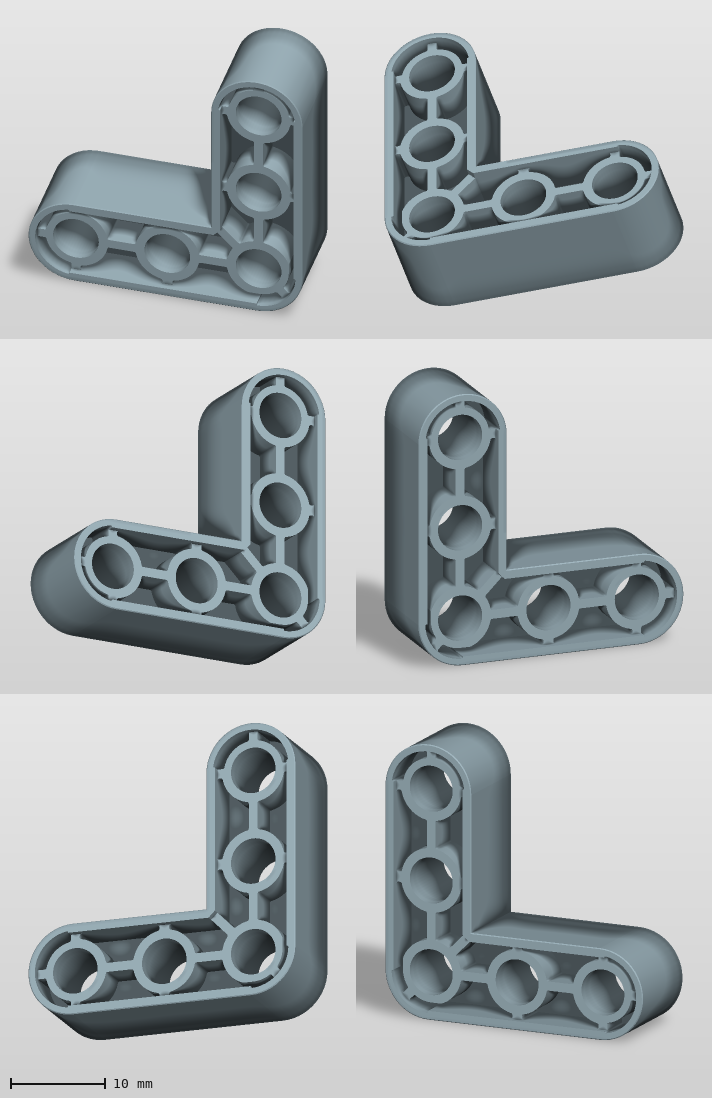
import cadquery as cq
import math

pitch = 10.0
holes_per_arm = 3
thickness = 10.0
outer_radius = pitch / 2
hole_diameter = 5.0
edge_chamfer = 0.1

floor_thickness = 1.0
recess = 0.8
wall_face = 4.02
end_radius = 4.25
ring_radius = 3.5
thin_ring_radius = 3.3
web_width = 1.0
middle_rib_width = 1.1
rib_fillet = 0.2
web_fillet = 0.2
step_fillet = 0.15

margin = 0.1

arm_length = (holes_per_arm - 1) * pitch
pocket_depth = (thickness - floor_thickness) / 2
front_y = -thickness / 2

corner_hole = (0, 0)
x_end_hole = (-arm_length, 0)
z_end_hole = (0, arm_length)
holes_along_x = [(-i * pitch, 0) for i in range(1, holes_per_arm)]
holes_along_z = [(0, i * pitch) for i in range(1, holes_per_arm)]
hole_centres = [corner_hole] + holes_along_x + holes_along_z


def face_plane():
    """Workplane on the front face; a negative extrusion goes into the part."""
    return cq.Workplane("XZ", origin=(0, front_y, 0))


def bar(start, end, width):
    """Straight bar of the given width between two points (x, z), as deep as a pocket."""
    middle = ((start[0] + end[0]) / 2, (start[1] + end[1]) / 2)
    angle = math.degrees(math.atan2(end[1] - start[1], end[0] - start[0]))
    turned = face_plane().center(*middle).transformed(rotate=(0, 0, angle))
    return turned.rect(math.dist(start, end), width).extrude(-pocket_depth)


def block(x_range, z_range):
    """Upright block over the given x and z ranges, as deep as a pocket."""
    size = (x_range[1] - x_range[0], z_range[1] - z_range[0])
    corner = (x_range[0] + size[0] / 2, z_range[0] + size[1] / 2)
    return face_plane().center(*corner).rect(*size).extrude(-pocket_depth)


def discs(centres, radius, depth=pocket_depth):
    """Round prisms at the given centres, starting at the front face."""
    return face_plane().pushPoints(centres).circle(radius).extrude(-depth)


def round_edges(solid, x_range, z_range, radius):
    """Fillet the edges along Y whose middles lie within the given x and z ranges."""
    low = (x_range[0], -thickness, z_range[0])
    high = (x_range[1], thickness, z_range[1])
    return solid.edges("|Y").edges(cq.selectors.BoxSelector(low, high)).fillet(radius)


def around(centre, slack):
    """Range from slack below to slack above a centre."""
    return (centre - slack, centre + slack)


def body():
    """L-shaped block with round arm ends, a round outer corner and bevelled outer edges."""
    r = outer_radius
    diagonal = r * math.sqrt(0.5)
    outline = (
        face_plane()
        .moveTo(0, -r)
        .lineTo(-arm_length, -r)
        .threePointArc((-arm_length - r, 0), (-arm_length, r))
        .lineTo(-r, r)
        .lineTo(-r, arm_length)
        .threePointArc((0, arm_length + r), (r, arm_length))
        .lineTo(r, 0)
        .threePointArc((diagonal, -diagonal), (0, -r))
        .close()
    )
    solid = outline.extrude(-thickness)
    return solid.faces("<Y or >Y").edges().chamfer(edge_chamfer)


round_start = arm_length + web_width / 2
round_stop = arm_length + outer_radius
across_arm = (-outer_radius, outer_radius)
x_end_area = block((-round_stop, -round_start), across_arm)
z_end_area = block(across_arm, (round_start, round_stop))
corner_area = block((0, outer_radius), (-outer_radius, 0))
round_areas = [(x_end_hole, x_end_area), (z_end_hole, z_end_area), (corner_hole, corner_area)]


def cavity():
    """Space inside the outer wall, wider by a small step at its round stretches."""
    half = wall_face
    space = bar((-round_start, 0), (half, 0), 2 * half)
    space = space.union(bar((0, -half), (0, round_start), 2 * half)).cut(corner_area)
    for hole, area in round_areas:
        space = space.union(discs([hole], end_radius).intersect(area))

    right_wall = (wall_face + margin, outer_radius)
    left_wall = (-outer_radius, -wall_face - margin)
    for wall in (right_wall, left_wall):
        space = round_edges(space, around(-round_start, margin), wall, step_fillet)
        space = round_edges(space, wall, around(round_start, margin), step_fillet)
    space = round_edges(space, right_wall, around(0, margin), step_fillet)
    space = round_edges(space, around(0, margin), left_wall, step_fillet)

    notch = wall_face + web_width * math.sqrt(0.5) / 2
    return space.union(bar((-notch, notch), corner_hole, web_width))


def rings():
    """Rings around the holes, thinner where they face the round stretches of wall."""
    solid = discs(hole_centres, ring_radius)
    flats = block((thin_ring_radius, outer_radius), (0, outer_radius / 2))
    flats = flats.union(block((-outer_radius / 2, 0), (-outer_radius, -thin_ring_radius)))
    solid = solid.cut(flats)
    for hole, area in round_areas:
        solid = solid.cut(area.cut(discs([hole], thin_ring_radius)))
    return solid


def ribs():
    """Webs and ribs that tie the rings to each other and to the outer wall."""
    reach = outer_radius
    solid = bar((-round_stop, 0), corner_hole, web_width)
    solid = solid.union(bar(corner_hole, (0, round_stop), web_width))
    solid = solid.union(bar((-reach, reach), (reach, -reach), web_width))
    for x, _ in holes_along_x:
        width = web_width if x == -arm_length else middle_rib_width
        solid = solid.union(bar((x, -reach), (x, reach), width))
    for _, z in holes_along_z:
        width = web_width if z == arm_length else middle_rib_width
        solid = solid.union(bar((-reach, z), (reach, z), width))
    return solid


def pockets(space):
    """Deep pockets left between the wall, the rings and the ribs."""
    solid = space.cut(rings()).cut(ribs())

    right_gap = (hole_diameter / 2, wall_face + margin / 4)
    left_gap = (-right_gap[1], -right_gap[0])
    for gap in (right_gap, left_gap):
        for x, _ in holes_along_x:
            solid = round_edges(solid, around(x, web_width), gap, rib_fillet)
        for _, z in holes_along_z:
            solid = round_edges(solid, gap, around(z, web_width), rib_fillet)
    solid = round_edges(solid, (web_width, ring_radius), (-ring_radius, -web_width), rib_fillet)

    web_stop = arm_length + thin_ring_radius + margin
    across_web = around(0, web_width / 2 + margin)
    solid = round_edges(solid, (-web_stop, 0), across_web, web_fillet)
    solid = round_edges(solid, across_web, (0, web_stop), web_fillet)
    return round_edges(solid, (-ring_radius, -web_width), (web_width, ring_radius), web_fillet)


space = cavity()
above_recess = face_plane().rect(4 * arm_length, 4 * arm_length).extrude(-recess)
front = pockets(space).union(space.intersect(above_recess))
back = front.mirror("XZ")
holes = discs(hole_centres, hole_diameter / 2, thickness)
result = body().cut(front).cut(back).cut(holes)